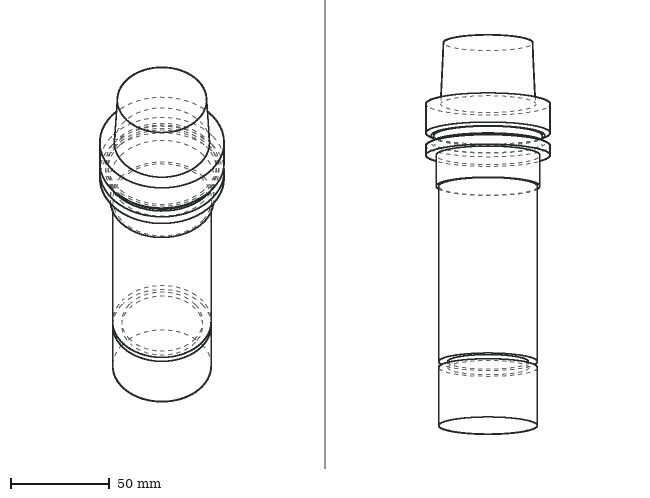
import cadquery as cq

shank_top_diameter = 45.3
shank_base_diameter = 48.3
flange_diameter = 63.0
bevel_end_diameter = 57.5
flange_groove_diameter = 55.0
collar_diameter = 52.6
barrel_diameter = 50.0
neck_diameter = 41.0

nut_length = 30.0
neck_length = 3.0
barrel_length = 90.2
collar_length = 16.0
lower_flange_thickness = 5.0
bevel_height = 1.4
groove_floor_width = 3.7
upper_flange_thickness = 15.0
shank_length = 31.5

neck_top = nut_length + neck_length
barrel_top = neck_top + barrel_length
collar_top = barrel_top + collar_length
lower_flange_top = collar_top + lower_flange_thickness
groove_floor_bottom = lower_flange_top + bevel_height
groove_floor_top = groove_floor_bottom + groove_floor_width
upper_flange_bottom = groove_floor_top + bevel_height
upper_flange_top = upper_flange_bottom + upper_flange_thickness
shank_top = upper_flange_top + shank_length


def make_nut():
    """Plain cylinder at the lower end, touching the holder's neck."""
    return cq.Workplane("XY").circle(barrel_diameter / 2).extrude(nut_length)


def make_holder():
    """Turned holder: neck, barrel, collar, grooved flange and tapered shank."""
    flange_radius = flange_diameter / 2
    bevel_end_radius = bevel_end_diameter / 2
    groove_radius = flange_groove_diameter / 2
    collar_radius = collar_diameter / 2
    barrel_radius = barrel_diameter / 2
    neck_radius = neck_diameter / 2
    shank_top_radius = shank_top_diameter / 2
    shank_base_radius = shank_base_diameter / 2

    profile = (
        cq.Workplane("XZ")
        .moveTo(0, nut_length)
        .lineTo(neck_radius, nut_length)
        .lineTo(neck_radius, neck_top)
        .lineTo(barrel_radius, neck_top)
        .lineTo(barrel_radius, barrel_top)
        .lineTo(collar_radius, barrel_top)
        .lineTo(collar_radius, collar_top)
        .lineTo(flange_radius, collar_top)
        .lineTo(flange_radius, lower_flange_top)
        .lineTo(bevel_end_radius, groove_floor_bottom)
        .lineTo(groove_radius, groove_floor_bottom)
        .lineTo(groove_radius, groove_floor_top)
        .lineTo(bevel_end_radius, groove_floor_top)
        .lineTo(flange_radius, upper_flange_bottom)
        .lineTo(flange_radius, upper_flange_top)
        .lineTo(shank_base_radius, upper_flange_top)
        .lineTo(shank_top_radius, shank_top)
        .lineTo(0, shank_top)
        .close()
    )
    return profile.revolve(360, (0, 0, 0), (0, 1, 0))


nut = make_nut()
holder = make_holder()

result = cq.Compound.makeCompound([nut.val(), holder.val()])